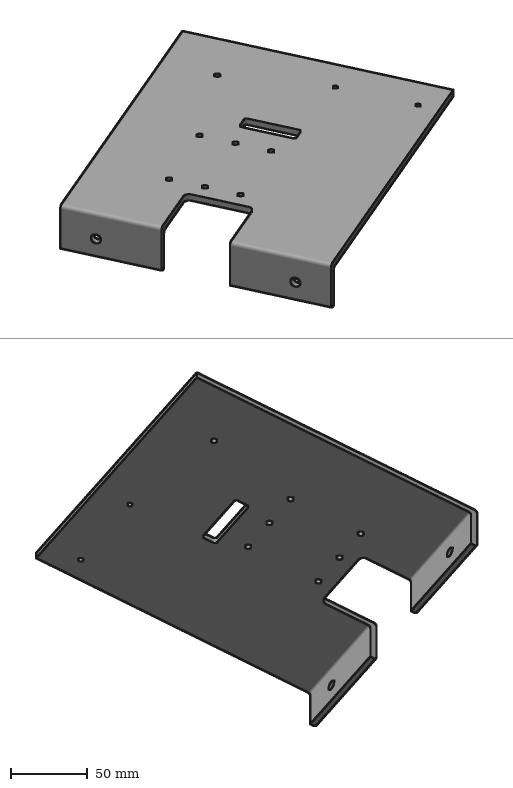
import cadquery as cq

width = 190.0
length = 220.0
height = 35.0
thickness = 5.0

outer_radius = 2.6
inner_radius = 1.8

notch_width = 48.0
notch_depth = 43.5
notch_corner_radius = 4.0

window_length = 39.5
window_width = 10.5
window_corner_radius = 1.8
window_from_back = 85.5

mount_hole_diameter = 4.0
grid_first_x = -40.0
grid_pitch_x = 25.0
grid_columns = 3
grid_first_from_back = 110.0
grid_pitch_y = 55.0
grid_rows = 2

lone_hole_x = -55.0
lone_hole_from_back = 40.0
small_hole_diameter = 3.3
small_hole_xs = (22.0, 80.0)
small_holes_from_back = 25.0

flange_hole_diameter = 6.8
flange_hole_spacing = 140.0
flange_hole_below_top = 20.0

front_y = -length / 2
back_y = length / 2


def bent_plate():
    """Flat plate with a flange turned down along its front edge."""
    flange_inner_y = front_y + thickness
    plate_bottom_z = height - thickness
    profile = (
        cq.Workplane("YZ", origin=(-width / 2, 0, 0))
        .moveTo(back_y, height)
        .lineTo(front_y, height)
        .lineTo(front_y, 0)
        .lineTo(flange_inner_y, 0)
        .lineTo(flange_inner_y, plate_bottom_z)
        .lineTo(back_y, plate_bottom_z)
        .close()
    )
    body = profile.extrude(width)
    body = body.faces("<Y").edges("|X").fillet(outer_radius)
    inner_bend = cq.selectors.NearestToPointSelector((0, flange_inner_y, plate_bottom_z))
    return body.edges("|X").edges(inner_bend).fillet(inner_radius)


def notch_cutter():
    """Block that splits the flange in two and reaches into the plate."""
    return (
        cq.Workplane("XY")
        .box(notch_width, notch_depth, height, centered=(True, False, False))
        .edges("|Z and >Y")
        .fillet(notch_corner_radius)
        .translate((0, front_y, 0))
    )


def window_cutter():
    """Rounded rectangular block for the window."""
    return (
        cq.Workplane("XY")
        .box(window_length, window_width, height, centered=(True, True, False))
        .edges("|Z")
        .fillet(window_corner_radius)
        .translate((0, back_y - window_from_back, 0))
    )


def plate_pins(points, diameter):
    """Vertical cylinders for holes through the plate."""
    return cq.Workplane("XY").pushPoints(points).circle(diameter / 2).extrude(height)


def flange_pins():
    """Cylinders along Y for the two flange holes."""
    hole_z = height - flange_hole_below_top
    points = [(side * flange_hole_spacing / 2, hole_z) for side in (-1, 1)]
    return (
        cq.Workplane("XZ", origin=(0, front_y + thickness, 0))
        .pushPoints(points)
        .circle(flange_hole_diameter / 2)
        .extrude(thickness)
    )


mount_points = [
    (grid_first_x + column * grid_pitch_x, back_y - grid_first_from_back - row * grid_pitch_y)
    for column in range(grid_columns)
    for row in range(grid_rows)
]
mount_points.append((lone_hole_x, back_y - lone_hole_from_back))
small_points = [(x, back_y - small_holes_from_back) for x in small_hole_xs]

result = (
    bent_plate()
    .cut(notch_cutter())
    .cut(window_cutter())
    .cut(plate_pins(mount_points, mount_hole_diameter))
    .cut(plate_pins(small_points, small_hole_diameter))
    .cut(flange_pins())
)